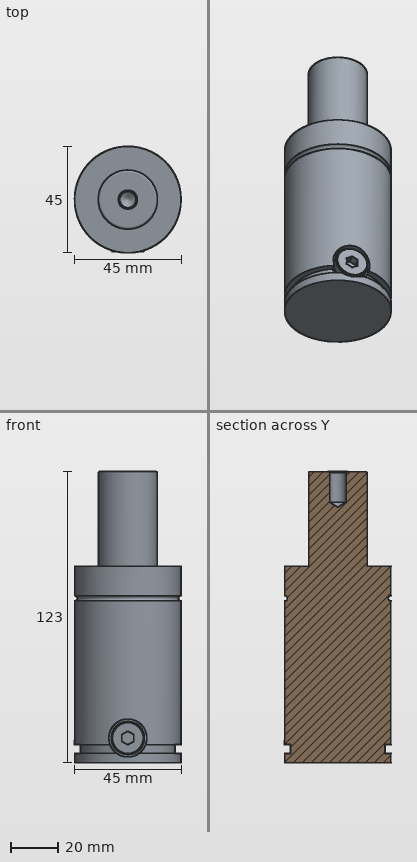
import cadquery as cq
import math

body_diameter = 45.0
total_height = 123.0
body_radius = body_diameter / 2

rod_diameter = 25.0
rod_length = 40.0
rod_fillet = 1.0
rod_base_z = total_height - rod_length

rod_hole_diameter = 6.8
rod_hole_depth = 13.0
rod_hole_chamfer_diameter = 8.0
drill_point_angle = 118.0

groove_diameter = 40.0
groove_bottom_z = 4.0
groove_height = 3.7

collar_height = 12.5
collar_groove_radius = 1.1

port_diameter = 16.0
port_center_z = 10.5
port_floor_radius = 18.0
plug_diameter = 14.0
plug_chamfer = 0.5
plug_face_radius = 22.0
hex_across_flats = 5.0
hex_depth = 4.0


def side_cylinder(diameter, inner_radius, outer_radius):
    """Cylinder on the port axis, between two distances from the body axis."""
    return (
        cq.Workplane("XZ", origin=(0, -inner_radius, port_center_z))
        .circle(diameter / 2)
        .extrude(outer_radius - inner_radius)
    )


def make_body():
    """Turned body, collar and rod, revolved about Z."""
    groove_radius = groove_diameter / 2
    groove_top_z = groove_bottom_z + groove_height
    collar_bottom_z = rod_base_z - collar_height
    neck_radius = body_radius - collar_groove_radius
    neck_bottom_z = collar_bottom_z - 2 * collar_groove_radius
    rod_radius = rod_diameter / 2
    return (
        cq.Workplane("XZ")
        .moveTo(0, 0)
        .lineTo(body_radius, 0)
        .lineTo(body_radius, groove_bottom_z)
        .lineTo(groove_radius, groove_bottom_z)
        .lineTo(groove_radius, groove_top_z)
        .lineTo(body_radius, groove_top_z)
        .lineTo(body_radius, neck_bottom_z)
        .threePointArc(
            (neck_radius, neck_bottom_z + collar_groove_radius),
            (body_radius, collar_bottom_z),
        )
        .lineTo(body_radius, rod_base_z)
        .lineTo(rod_radius, rod_base_z)
        .lineTo(rod_radius, total_height - rod_fillet)
        .radiusArc((rod_radius - rod_fillet, total_height), -rod_fillet)
        .lineTo(0, total_height)
        .close()
        .revolve(360, (0, 0, 0), (0, 1, 0))
    )


def make_rod_hole():
    """Countersunk blind hole with a conical drill point."""
    hole_radius = rod_hole_diameter / 2
    mouth_radius = rod_hole_chamfer_diameter / 2
    point_depth = hole_radius / math.tan(math.radians(drill_point_angle / 2))
    floor_z = total_height - rod_hole_depth
    return (
        cq.Workplane("XZ")
        .moveTo(0, floor_z - point_depth)
        .lineTo(hole_radius, floor_z)
        .lineTo(hole_radius, total_height - (mouth_radius - hole_radius))
        .lineTo(mouth_radius, total_height)
        .lineTo(0, total_height)
        .close()
        .revolve(360, (0, 0, 0), (0, 1, 0))
    )


def make_plug():
    """Chamfered round plug with a hexagon socket whose corners point along Z."""
    plug = side_cylinder(plug_diameter, port_floor_radius, plug_face_radius)
    plug = plug.faces("<Y").chamfer(plug_chamfer)
    socket = (
        cq.Workplane("XZ", origin=(0, -plug_face_radius, port_center_z))
        .transformed(rotate=(0, 0, 90))
        .polygon(6, hex_across_flats / math.cos(math.pi / 6))
        .extrude(-hex_depth)
    )
    return plug.cut(socket)


port = side_cylinder(port_diameter, port_floor_radius, body_radius)
result = make_body().cut(make_rod_hole()).cut(port).union(make_plug())